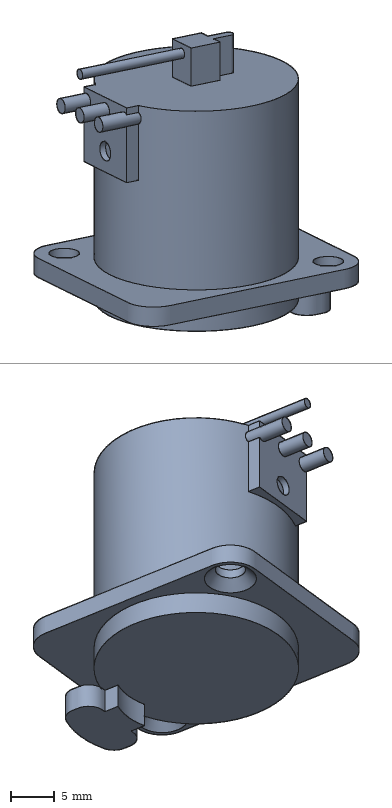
import cadquery as cq
import math

housing_diameter = 23.6
housing_top = 24.1
nose_depth = 2.7

flange_width = 26.0
flange_length = 31.0
flange_thickness = 2.35
flange_corner_radius = 3.5
mount_hole_diameter = 3.5
countersink_diameter = 6.0
countersink_angle = 90.0
mount_hole_x = 9.5
mount_hole_y = 12.0

pad_size = 9.1
pad_face_y = -12.5
pad_hole_diameter = 2.3
pad_hole_drop = 6.55
pad_hole_depth = 0.8

pin_diameter = 1.8
pin_pitch = 4.0
pin_drop = 1.55
pin_tip_y = -16.0
pin_root_y = -9.0

block_size = 4.0
block_height = 4.65
tongue_width = 1.2
tongue_tip_y = 5.0
wire_diameter = 1.2
wire_drop = 1.2

latch_width = 10.0
latch_thickness = 2.95
latch_tip_y = 16.62
latch_corner_radius = 2.0
latch_tip_radius = 10.8
latch_shoulder_y = 11.25
latch_stem_width = 5.1
latch_stem_end_y = 9.35
latch_relief_radius = 15.85 / 2


def bar_along_y(diameter, x, z, start_y, end_y):
    """Round bar parallel to Y, running from start_y towards -Y up to end_y."""
    section = cq.Workplane("XZ", origin=(x, start_y, z)).circle(diameter / 2)
    return section.extrude(start_y - end_y)


def make_housing():
    base = cq.Workplane("XY", origin=(0, 0, -nose_depth))
    return base.circle(housing_diameter / 2).extrude(nose_depth + housing_top)


def make_flange():
    """Rounded plate with two diagonally opposite holes, countersunk from below."""
    plate = cq.Workplane("XY").rect(flange_width, flange_length).extrude(flange_thickness)
    plate = plate.edges("|Z").fillet(flange_corner_radius)
    hole_centres = [(mount_hole_x, mount_hole_y), (-mount_hole_x, -mount_hole_y)]
    plate = plate.faces("<Z").workplane(origin=(0, 0, 0))
    sunk_centres = [(x, -y) for x, y in hole_centres]
    return plate.pushPoints(sunk_centres).cskHole(mount_hole_diameter, countersink_diameter, countersink_angle)


def make_pad():
    """Flat square pad, flush with the housing top."""
    base = cq.Workplane("XY", origin=(0, pad_face_y / 2, housing_top - pad_size))
    return base.rect(pad_size, -pad_face_y).extrude(pad_size)


def make_pad_hole():
    """Blind round hole cut into the face of the pad."""
    hole_z = housing_top - pad_hole_drop
    return bar_along_y(pad_hole_diameter, 0, hole_z, pad_face_y + pad_hole_depth, pad_face_y)


def make_pins():
    pins = cq.Workplane("XY")
    for x in (-pin_pitch, 0, pin_pitch):
        pins = pins.add(bar_along_y(pin_diameter, x, housing_top - pin_drop, pin_root_y, pin_tip_y))
    return pins.combine()


def make_ground_terminal():
    """Square block with a round-ended tongue towards +Y and a wire towards -Y."""
    base = cq.Workplane("XY", origin=(0, 0, housing_top))
    block = base.rect(block_size, block_size).extrude(block_height)
    tongue_half = tongue_width / 2
    tongue = (
        base.moveTo(-tongue_half, 0)
        .lineTo(tongue_half, 0)
        .lineTo(tongue_half, tongue_tip_y - tongue_half)
        .threePointArc((0, tongue_tip_y), (-tongue_half, tongue_tip_y - tongue_half))
        .close()
        .extrude(block_height)
    )
    wire = bar_along_y(wire_diameter, 0, housing_top + block_height - wire_drop, 0, pin_tip_y)
    return block.union(tongue).union(wire)


def make_latch():
    """Thumb piece with an arched tip and rounded corners; the stem end is hollowed by an arc."""
    half_width = latch_width / 2
    half_stem = latch_stem_width / 2
    tip_sagitta = latch_tip_radius - math.sqrt(latch_tip_radius**2 - half_width**2)
    relief_sagitta = latch_relief_radius - math.sqrt(latch_relief_radius**2 - half_stem**2)
    level = cq.Workplane("XY", origin=(0, 0, -nose_depth - latch_thickness))
    thumb = (
        level.moveTo(-half_width, latch_shoulder_y)
        .lineTo(half_width, latch_shoulder_y)
        .lineTo(half_width, latch_tip_y - tip_sagitta)
        .threePointArc((0, latch_tip_y), (-half_width, latch_tip_y - tip_sagitta))
        .close()
        .extrude(latch_thickness)
        .edges("|Z")
        .fillet(latch_corner_radius)
    )
    stem = (
        level.moveTo(half_stem, latch_stem_end_y)
        .lineTo(half_stem, latch_shoulder_y)
        .lineTo(-half_stem, latch_shoulder_y)
        .lineTo(-half_stem, latch_stem_end_y)
        .threePointArc((0, latch_stem_end_y + relief_sagitta), (half_stem, latch_stem_end_y))
        .close()
        .extrude(latch_thickness)
    )
    return thumb.union(stem)


result = make_housing().union(make_flange()).union(make_pad()).cut(make_pad_hole())
result = result.union(make_pins()).union(make_ground_terminal()).union(make_latch())